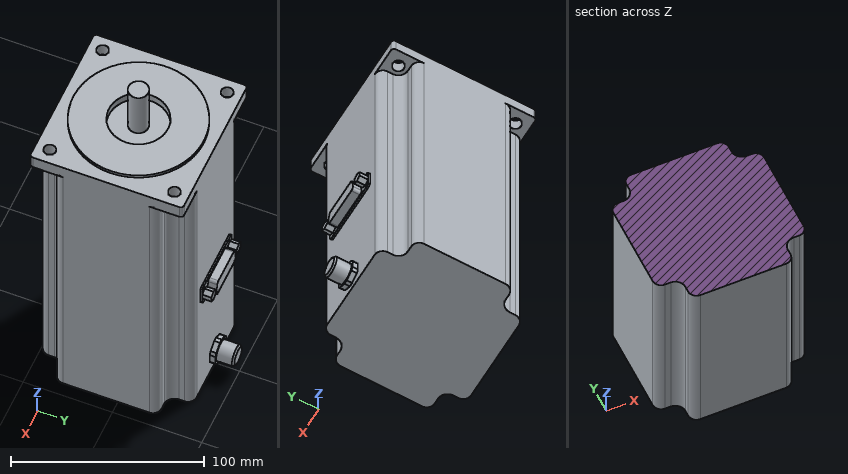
import cadquery as cq
import math

TOTAL_HEIGHT = 212.0
WIDTH = 85.8
HALF_WIDTH = WIDTH / 2

SHAFT_DIAMETER = 11.0
SHAFT_LENGTH = 25.0
PILOT_DIAMETER = 73.0
PILOT_HEIGHT = 2.0
RECESS_DIAMETER = 33.0
RECESS_DEPTH = 5.0
FLANGE_THICKNESS = 8.3
FLANGE_CORNER_RADIUS = 2.0
MOUNT_HOLE_DIAMETER = 6.5
MOUNT_HOLE_INSET = 8.0

PILOT_TOP = TOTAL_HEIGHT - SHAFT_LENGTH
FLANGE_TOP = PILOT_TOP - PILOT_HEIGHT
FLANGE_BOTTOM = FLANGE_TOP - FLANGE_THICKNESS

CHANNEL_DEPTH = 13.8
CHANNEL_RADIUS = CHANNEL_DEPTH - MOUNT_HOLE_INSET
CHANNEL_EDGE_RADIUS = 4.9

ROUND_CONNECTOR_Z = 12.5
BARREL_DIAMETER = 12.0
BARREL_LENGTH = 13.0
BARREL_CHAMFER = 1.0
COLLAR_ACROSS_FLATS = 14.5
COLLAR_ROUND_DIAMETER = 15.5
COLLAR_LENGTH = 3.2

D_CONNECTOR_Z = 81.2
D_CONNECTOR_LENGTH = 6.1
PLATE_WIDTH = 39.5
PLATE_HEIGHT = 12.5
PLATE_THICKNESS = 1.0
PLATE_CORNER_RADIUS = 2.0
SHELL_TOP_WIDTH = 22.9
SHELL_HEIGHT = 9.5
SHELL_SIDE_ANGLE = 10.0
SHELL_CORNER_RADIUS = 1.7
SCREW_SPACING = 33.3
SCREW_ACROSS_FLATS = 5.7

HEX_CORNER_FACTOR = 1 / math.cos(math.radians(30))


def cylinder(diameter, bottom, top):
    """Vertical cylinder on the motor axis."""
    return cq.Workplane("XY").workplane(offset=bottom).circle(diameter / 2).extrude(top - bottom)


def make_housing():
    """Square housing up to the flange, with a rounded channel along each corner."""
    housing = cq.Workplane("XY").rect(WIDTH, WIDTH).extrude(FLANGE_TOP)
    corners = cq.Workplane("XY").rect(WIDTH, WIDTH, forConstruction=True).vertices()
    channels = corners.rect(2 * CHANNEL_DEPTH, 2 * CHANNEL_DEPTH).extrude(FLANGE_BOTTOM)
    channels = channels.edges("|Z").fillet(CHANNEL_RADIUS)
    housing = housing.cut(channels)

    middle = HALF_WIDTH - CHANNEL_DEPTH
    for side in (-1, 1):
        for end in (-1, 1):
            for x, y in ((HALF_WIDTH, middle), (middle, HALF_WIDTH)):
                edge_point = (side * x, end * y, FLANGE_BOTTOM / 2)
                edge = housing.edges(cq.selectors.NearestToPointSelector(edge_point))
                housing = edge.fillet(CHANNEL_EDGE_RADIUS)
    outer_corners = cq.selectors.BoxSelector(
        (-WIDTH, -WIDTH, FLANGE_BOTTOM), (WIDTH, WIDTH, FLANGE_TOP)
    )
    return housing.edges("|Z").edges(outer_corners).fillet(FLANGE_CORNER_RADIUS)


def add_front_end(housing):
    """Pilot disc with its recess, the shaft and the flange mounting holes."""
    hole_spacing = WIDTH - 2 * MOUNT_HOLE_INSET
    holes = (
        cq.Workplane("XY")
        .workplane(offset=FLANGE_BOTTOM)
        .rect(hole_spacing, hole_spacing, forConstruction=True)
        .vertices()
        .circle(MOUNT_HOLE_DIAMETER / 2)
        .extrude(FLANGE_THICKNESS)
    )
    recess_floor = PILOT_TOP - RECESS_DEPTH
    return (
        housing.cut(holes)
        .union(cylinder(PILOT_DIAMETER, FLANGE_TOP, PILOT_TOP))
        .cut(cylinder(RECESS_DIAMETER, recess_floor, PILOT_TOP))
        .union(cylinder(SHAFT_DIAMETER, recess_floor, TOTAL_HEIGHT))
    )


def connector_plane(z):
    """Plane on the +Y face with local x along -X, local y along Z, normal outwards."""
    return cq.Workplane(cq.Plane((0, HALF_WIDTH, z), (-1, 0, 0), (0, 1, 0)))


def upright_hexagon(plane, across_flats, length):
    """Hexagonal prism with corners at top and bottom and flats at the sides."""
    corner_diameter = across_flats * HEX_CORNER_FACTOR
    return plane.transformed(rotate=(0, 0, 90)).polygon(6, corner_diameter).extrude(length)


def make_round_connector():
    """Chamfered barrel on a hexagonal collar with turned-down corners."""
    plane = connector_plane(ROUND_CONNECTOR_Z)
    barrel = plane.circle(BARREL_DIAMETER / 2).extrude(BARREL_LENGTH)
    barrel = barrel.faces(">Y").chamfer(BARREL_CHAMFER)
    collar = upright_hexagon(plane, COLLAR_ACROSS_FLATS, COLLAR_LENGTH)
    collar = collar.intersect(plane.circle(COLLAR_ROUND_DIAMETER / 2).extrude(COLLAR_LENGTH))
    return barrel.union(collar)


def make_d_connector():
    """Rounded plate carrying a D-shaped shell, wider at the bottom, between two screws."""
    plane = connector_plane(D_CONNECTOR_Z)
    plate = plane.rect(PLATE_WIDTH, PLATE_HEIGHT).extrude(PLATE_THICKNESS)
    plate = plate.edges("|Y").fillet(PLATE_CORNER_RADIUS)

    half_height = SHELL_HEIGHT / 2
    half_top = SHELL_TOP_WIDTH / 2
    half_bottom = half_top + SHELL_HEIGHT * math.tan(math.radians(SHELL_SIDE_ANGLE))
    shell = (
        plane.moveTo(-half_top, half_height)
        .lineTo(half_top, half_height)
        .lineTo(half_bottom, -half_height)
        .lineTo(-half_bottom, -half_height)
        .close()
        .extrude(D_CONNECTOR_LENGTH)
        .edges("|Y")
        .fillet(SHELL_CORNER_RADIUS)
    )
    connector = plate.union(shell)
    for side in (-1, 1):
        screw_plane = plane.center(side * SCREW_SPACING / 2, 0)
        connector = connector.union(upright_hexagon(screw_plane, SCREW_ACROSS_FLATS, D_CONNECTOR_LENGTH))
    return connector


motor = add_front_end(make_housing())
result = motor.union(make_round_connector()).union(make_d_connector())